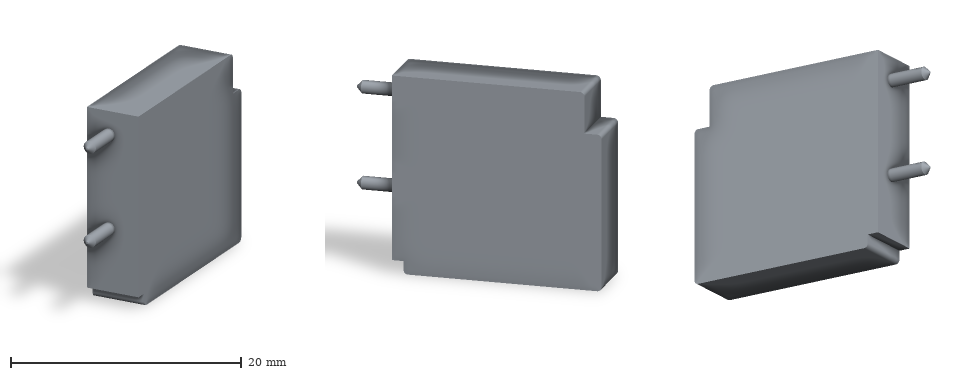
import cadquery as cq

width = 5.08
total_length = 23.0
height = 18.0
pin_length = 4.0
housing_length = total_length - pin_length

back_step_depth = 1.56
back_step_height = 3.75
front_step_depth = 1.05
front_step_height = 1.2
corner_radius = 0.4

pin_diameter = 1.2
pin_tip_length = 0.5
pin_x = 2.15
pin_spacing = 8.75
upper_pin_z = height - 2.2
lower_pin_z = upper_pin_z - pin_spacing


def make_housing():
    """Stepped side profile extruded across the width, with four rounded corners."""
    back_ledge_z = height - back_step_height
    upper_back_y = housing_length - back_step_depth
    block = (
        cq.Workplane("YZ")
        .moveTo(front_step_depth, 0)
        .lineTo(housing_length, 0)
        .lineTo(housing_length, back_ledge_z)
        .lineTo(upper_back_y, back_ledge_z)
        .lineTo(upper_back_y, height)
        .lineTo(0, height)
        .lineTo(0, front_step_height)
        .lineTo(front_step_depth, front_step_height)
        .close()
        .extrude(width)
    )
    rounded_corners = [
        (front_step_depth, 0),
        (housing_length, 0),
        (housing_length, back_ledge_z),
        (upper_back_y, height),
    ]
    for y, z in rounded_corners:
        corner_edge = cq.selectors.NearestToPointSelector((width / 2, y, z))
        block = block.edges(corner_edge).fillet(corner_radius)
    return block


def make_pin(z):
    """Round pin pointing toward -Y, with a 45 degree taper at its free end."""
    return (
        cq.Workplane("XZ", origin=(pin_x, 0, z))
        .circle(pin_diameter / 2)
        .extrude(pin_length)
        .faces("<Y")
        .chamfer(pin_tip_length)
    )


housing = make_housing()
pins = [make_pin(z) for z in (lower_pin_z, upper_pin_z)]

result = cq.Compound.makeCompound([housing.val(), *[pin.val() for pin in pins]])